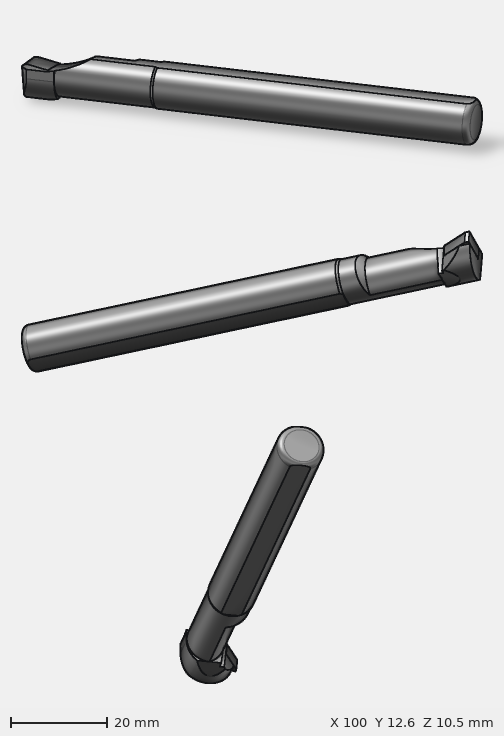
import cadquery as cq
import math

length = 100.0
shank_radius = 5.0
flat_height = 4.5
end_fillet = 1.3
neck_radius = 4.8
neck_end = 29.9
neck_taper_end = 30.5

relief_radius = 5.2
relief_edge_y = 3.2
relief_end = 24.6
relief_runout = 2.0

head_length = 8.7
head_radius = 5.8
head_center_y = 0.9
head_center_z = -0.2
head_taper_start = 4.6

rake_angle = 7.0
floor_height = 1.2
pocket_end = 16.0
pocket_sag = 0.6

insert_thickness = 2.4
clearance_angle = 7.0
nose_y = 7.6
nose_width = 0.9
insert_back_x = 6.8
insert_side_y = 4.1
insert_heel_x = 0.5
insert_heel_y = 0.3
corner_start = (0.7, -2.4)
corner_middle = (1.4, -3.6)
corner_end = (2.5, -4.9)
corner_overrun = 2.0

span = 30.0

rake = math.radians(rake_angle)
clearance = math.radians(clearance_angle)


def make_shank():
    base = cq.Workplane("YZ", origin=(neck_taper_end, 0, 0))
    shank = base.circle(shank_radius).extrude(length - neck_taper_end)
    shank = shank.faces(">X").edges().fillet(end_fillet)
    flats = cq.Workplane("XY").box(2 * length, span, 2 * flat_height)
    return shank.intersect(flats)


def make_neck():
    profile = [
        (head_length, 0),
        (head_length, neck_radius),
        (neck_end, neck_radius),
        (neck_taper_end, shank_radius),
        (neck_taper_end, 0),
    ]
    neck = cq.Workplane("XY").polyline(profile).close().revolve(360, (0, 0, 0), (1, 0, 0))
    top = cq.Workplane("XY", origin=(0, 0, flat_height)).box(2 * length, span, span, (True, True, False))
    taper_bottom = cq.Workplane("XY", origin=(neck_end, 0, -flat_height - span)).box(
        neck_taper_end - neck_end, span, span, (False, True, False)
    )
    return neck.cut(top).cut(taper_bottom).intersect(make_relief_envelope())


def make_relief_envelope():
    """Space left inside the relief: a cylinder that opens at 45 degrees and then clears the bar."""
    outer_radius = relief_radius + relief_runout
    profile = [
        (0, 0),
        (0, relief_radius),
        (relief_end, relief_radius),
        (relief_end + relief_runout, outer_radius),
        (relief_end + relief_runout, span),
        (length, span),
        (length, 0),
    ]
    envelope = cq.Workplane("XY").polyline(profile).close().revolve(360, (0, 0, 0), (1, 0, 0))
    return envelope.translate((0, relief_edge_y - relief_radius, 0))


def make_head():
    flat_side_y = head_center_y - head_radius
    section = (
        cq.Workplane("YZ")
        .moveTo(flat_side_y, flat_height)
        .lineTo(flat_side_y, head_center_z)
        .threePointArc(
            (head_center_y, head_center_z - head_radius),
            (head_center_y + head_radius, head_center_z),
        )
        .lineTo(head_center_y + head_radius, flat_height)
        .close()
    )
    head = section.extrude(head_length)
    underside = (
        cq.Workplane("XZ")
        .moveTo(head_taper_start, head_center_z - head_radius)
        .lineTo(head_length, -neck_radius)
        .lineTo(head_length, -span)
        .lineTo(head_taper_start, -span)
        .close()
        .extrude(span, both=True)
    )
    return head.cut(underside).intersect(make_nose_prism())


def make_nose_prism():
    """Outline of the head, square to the raked floor and leaned back below it for clearance."""
    plane = cq.Plane(
        origin=(0, 0, floor_height),
        xDir=(
            math.cos(clearance),
            math.sin(rake) * math.sin(clearance),
            math.cos(rake) * math.sin(clearance),
        ),
        normal=(
            -math.sin(clearance),
            math.sin(rake) * math.cos(clearance),
            math.cos(rake) * math.cos(clearance),
        ),
    )
    nose_reach = nose_y / math.cos(rake)
    overrun = (
        corner_end[0] + corner_overrun * (corner_end[0] - corner_middle[0]),
        corner_end[1] + corner_overrun * (corner_end[1] - corner_middle[1]),
    )
    outline = [
        (0, nose_reach),
        (nose_width, nose_reach),
        (insert_back_x, insert_side_y),
        (insert_back_x, relief_edge_y),
        (span, relief_edge_y),
        (span, overrun[1]),
        overrun,
        corner_middle,
        corner_start,
    ]
    return cq.Workplane(plane).polyline(outline).close().extrude(span, both=True)


def make_chip_pocket():
    plane = cq.Plane(
        origin=(0, 0, floor_height),
        xDir=(1, 0, 0),
        normal=(0, -math.cos(rake), math.sin(rake)),
    )
    rise = (flat_height - floor_height) / math.cos(rake)
    middle = ((insert_back_x + pocket_end) / 2, rise / 2 - pocket_sag)
    return (
        cq.Workplane(plane)
        .moveTo(-span, 0)
        .lineTo(insert_back_x, 0)
        .threePointArc(middle, (pocket_end, rise))
        .lineTo(pocket_end, span)
        .lineTo(-span, span)
        .close()
        .extrude(span, both=True)
    )


def make_insert():
    plane = cq.Plane(
        origin=(0, 0, floor_height),
        xDir=(1, 0, 0),
        normal=(0, math.sin(rake), math.cos(rake)),
    )
    side_slope = (insert_side_y - nose_y) / (insert_back_x - nose_width)
    front_x = -1.0
    heel_y = insert_heel_y + side_slope * (front_x - insert_heel_x)
    back_y = insert_heel_y + side_slope * (insert_back_x - insert_heel_x)
    outline = [
        (front_x, heel_y),
        (insert_back_x, back_y),
        (insert_back_x, span),
        (front_x, span),
    ]
    blank = cq.Workplane(plane).polyline(outline).close().extrude(-insert_thickness)
    return blank.intersect(make_nose_prism())


insert = make_insert()
holder = make_shank().union(make_neck()).union(make_head())
holder = holder.cut(make_chip_pocket()).cut(insert)

result = cq.Compound.makeCompound([holder.val(), insert.val()])